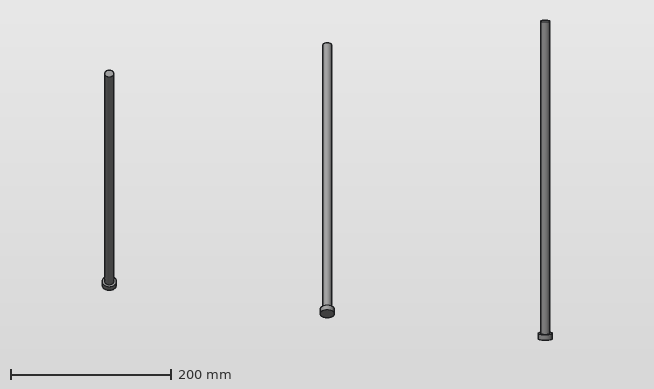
import cadquery as cq

head_diameter = 18.0
head_height = 7.0
shaft_diameter = 11.5
shaft_length = 400.0


def make_head():
    """Flat disc with its underside on the XY plane."""
    return cq.Workplane("XY").circle(head_diameter / 2).extrude(head_height)


def add_shaft(head):
    """Straight shaft rising from the top face of the head."""
    return head.faces(">Z").workplane().circle(shaft_diameter / 2).extrude(shaft_length)


result = add_shaft(make_head())